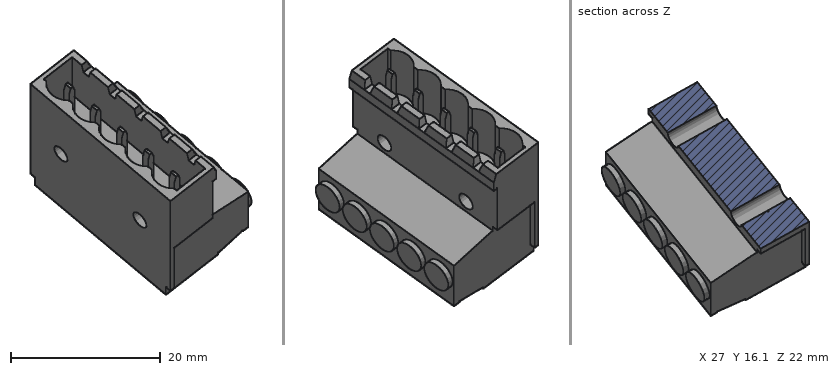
import cadquery as cq

pole_count = 5
pitch = 5.08
pole_positions = [(i - (pole_count - 1) / 2) * pitch for i in range(pole_count)]

width = 27
height = 22.0
shell_depth = 7.85
shell_bottom = 10.78
front_plate_thickness = 0.7
front_plate_bottom = 1.73

ridge_back = 8.55
ridge_top_back = 8.08
ridge_bevel_start = 20.72
ridge_bottom = 19.05

block_width = 25.3
block_back = 15.31
block_shoulder = 8.37
block_shoulder_height = 10.02
block_back_top = 8.89
lip_bottom = 0.9
lip_front = 14.23
underside_back_height = 1.05
foot_back = 9.72
underside_front_height = 0.3

screw_radius = 2.25
screw_back = 16.15
screw_height = 5.55

cavity_width = 25.65
cavity_front = 1.85
cavity_back = 7.1
cavity_floor = 13.5
bay_front = 0.85
bay_width = 4.32

notch_top_width = 1.67
notch_bottom_width = 1.0
notch_floor = ridge_bevel_start

pin_size = 1.0
pin_y = 4.0
pin_top = 21.18
pin_bevel_depth = 0.3
pin_bevel_height = 0.97

hole_diameter = 2.5
hole_height = 11.97
hole_spacing_pitches = 3
hole_offset = hole_spacing_pitches * pitch / 2


def extrude_along_x(profile, length):
    """Extrude a (Y, Z) outline symmetrically about X = 0."""
    return cq.Workplane("YZ").polyline(profile).close().extrude(length / 2, both=True)


def make_shell():
    profile = [
        (0, front_plate_bottom),
        (front_plate_thickness, front_plate_bottom),
        (front_plate_thickness, shell_bottom),
        (shell_depth, shell_bottom),
        (shell_depth, ridge_bottom),
        (ridge_back, ridge_bottom),
        (ridge_back, ridge_bevel_start),
        (ridge_top_back, height),
        (0, height),
    ]
    return extrude_along_x(profile, width)


def make_block():
    profile = [
        (0, 0),
        (foot_back, 0),
        (foot_back, underside_front_height),
        (lip_front, underside_back_height),
        (lip_front, lip_bottom),
        (block_back, lip_bottom),
        (block_back, block_back_top),
        (block_shoulder, block_shoulder_height),
        (shell_depth, block_shoulder_height),
        (shell_depth, shell_bottom),
        (0, shell_bottom),
    ]
    return extrude_along_x(profile, block_width)


def make_screw_heads():
    centers = [(x, screw_height) for x in pole_positions]
    return (
        cq.Workplane("XZ", origin=(0, block_back, 0))
        .pushPoints(centers)
        .circle(screw_radius)
        .extrude(block_back - screw_back)
    )


def make_cavity():
    half_width = cavity_width / 2
    outline = cq.Workplane("XY", origin=(0, 0, cavity_floor)).moveTo(-half_width, cavity_front)
    for x in pole_positions:
        outline = outline.lineTo(x - bay_width / 2, cavity_front)
        outline = outline.threePointArc((x, bay_front), (x + bay_width / 2, cavity_front))
    outline = outline.lineTo(half_width, cavity_front)
    outline = outline.lineTo(half_width, cavity_back)
    outline = outline.lineTo(-half_width, cavity_back)
    return outline.close().extrude(height - cavity_floor)


def make_notch(x):
    profile = [
        (x - notch_bottom_width / 2, notch_floor),
        (x + notch_bottom_width / 2, notch_floor),
        (x + notch_top_width / 2, height),
        (x - notch_top_width / 2, height),
    ]
    return (
        cq.Workplane("XZ", origin=(0, cavity_back, 0))
        .polyline(profile)
        .close()
        .extrude(cavity_back - ridge_back)
    )


def make_pin(x):
    front = pin_y - pin_size / 2
    back = pin_y + pin_size / 2
    profile = [
        (front, cavity_floor),
        (back, cavity_floor),
        (back, pin_top - pin_bevel_height),
        (back - pin_bevel_depth, pin_top),
        (front + pin_bevel_depth, pin_top),
        (front, pin_top - pin_bevel_height),
    ]
    return extrude_along_x(profile, pin_size).translate((x, 0, 0))


def make_mounting_holes():
    centers = [(-hole_offset, hole_height), (hole_offset, hole_height)]
    return cq.Workplane("XZ").pushPoints(centers).circle(hole_diameter / 2).extrude(-shell_depth)


result = make_shell().union(make_block()).union(make_screw_heads())
result = result.cut(make_cavity()).cut(make_mounting_holes())
for pole_x in pole_positions:
    result = result.cut(make_notch(pole_x)).union(make_pin(pole_x))